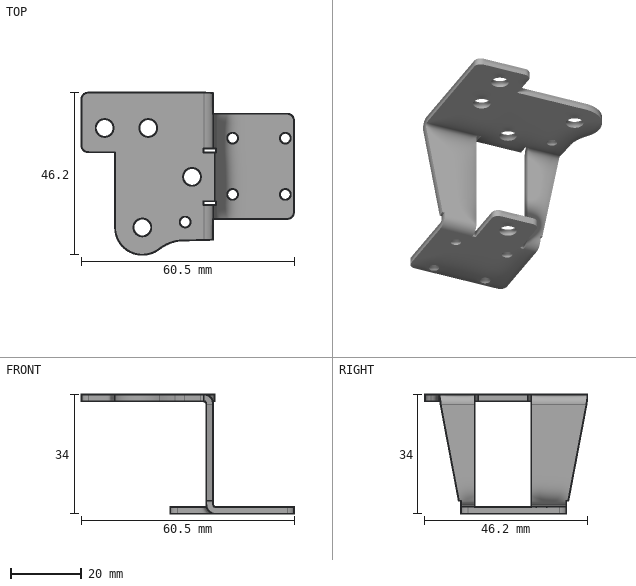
import cadquery as cq
import math


sheet = 2.0
bend_inner_radius = 0.74
bend_outer_radius = bend_inner_radius + sheet
height = 34.0
web_left = 35.54
web_right = web_left + sheet
upper_bend_start = web_left - bend_inner_radius
lower_bend_end = web_right + bend_inner_radius

upper_half_width = 21.0
lower_half_width = 15.0
upper_bend_inset = 0.2
taper_bottom_half_width = 15.6
relief = 1.0
upper_bend_bottom = height - bend_outer_radius
taper_bottom = bend_outer_radius + relief

window_center_y = -3.0
window_width = 16.0
tab_width = window_width - 2 * relief
upper_tab_end = 37.95
lower_tab_end = 25.3
corner_radius = 2.0

ear_bottom = 4.0
lobe_radius = 7.8
lobe_center = (17.38, -17.4)
lobe_end_angle = math.radians(-52.1)
blend_middle = (26.57, -21.4)
blend_end = (29.33, -21.15)

lower_plate_end = 60.54

large_hole = 5.0
small_hole = 3.0
tab_hole = (31.5, window_center_y)
ear_hole_y = 10.9
ear_hole_xs = (6.65, 19.05)
upper_small_hole = (29.55, -15.85)
mount_spacing_x = 15.0
mount_spacing_y = 16.0
mount_center_x = 50.55


def lobe_point(angle):
    """Point on the rounded lobe at an angle from +X."""
    x, y = lobe_center
    return (x + lobe_radius * math.cos(angle), y + lobe_radius * math.sin(angle))


def make_upper_plate():
    """Flat upper plate up to the bend, with its ear, lobe and tab."""
    lobe_left = lobe_center[0] - lobe_radius
    plate = (
        cq.Workplane("XY")
        .workplane(offset=height - sheet)
        .moveTo(upper_bend_start, upper_half_width)
        .lineTo(0, upper_half_width)
        .lineTo(0, ear_bottom)
        .lineTo(lobe_left, ear_bottom)
        .lineTo(lobe_left, lobe_center[1])
        .threePointArc(lobe_point(-math.pi / 2), lobe_point(lobe_end_angle))
        .tangentArcPoint(blend_middle, relative=False)
        .tangentArcPoint(blend_end, relative=False)
        .lineTo(upper_bend_start - relief, -upper_half_width)
        .lineTo(upper_bend_start, -upper_half_width)
        .close()
        .extrude(sheet)
    )
    plate = plate.edges("|Z and <X").fillet(corner_radius)
    return plate.union(make_tab(upper_bend_start, upper_tab_end, height - sheet))


def make_tab(x_start, x_end, z_bottom):
    """Flat strip as wide as the tabs, between two X positions."""
    return cq.Workplane("XY").box(
        x_end - x_start, tab_width, sheet, centered=(False, True, False)
    ).translate((x_start, window_center_y, z_bottom))


def make_lower_plate():
    """Flat lower plate beyond the bend, with the tab on its other side."""
    plate = cq.Workplane("XY").box(
        lower_plate_end - lower_bend_end, 2 * lower_half_width, sheet, centered=(False, True, False)
    ).translate((lower_bend_end, 0, 0))
    plate = plate.edges("|Z and >X").fillet(corner_radius)
    tab = make_tab(lower_tab_end, lower_bend_end, 0)
    return plate.union(tab.edges("|Z and <X").fillet(corner_radius))


def make_web():
    """Upright web and both bends, trimmed to the tapered outline and window."""
    inner_mid = bend_inner_radius * math.cos(math.pi / 4)
    outer_mid = bend_outer_radius * math.cos(math.pi / 4)
    upper_z = upper_bend_bottom
    lower_z = bend_outer_radius
    section = (
        cq.Workplane("XZ")
        .moveTo(upper_bend_start, height)
        .threePointArc((upper_bend_start + outer_mid, upper_z + outer_mid), (web_right, upper_z))
        .lineTo(web_right, lower_z)
        .threePointArc((lower_bend_end - inner_mid, lower_z - inner_mid), (lower_bend_end, sheet))
        .lineTo(lower_bend_end, 0)
        .threePointArc((lower_bend_end - outer_mid, lower_z - outer_mid), (web_left, lower_z))
        .lineTo(web_left, upper_z)
        .threePointArc(
            (upper_bend_start + inner_mid, upper_z + inner_mid),
            (upper_bend_start, height - sheet),
        )
        .close()
        .extrude(upper_half_width, both=True)
    )
    outline = (
        cq.Workplane("YZ")
        .moveTo(0, height)
        .lineTo(upper_half_width, height)
        .lineTo(upper_half_width - upper_bend_inset, upper_bend_bottom)
        .lineTo(taper_bottom_half_width, taper_bottom)
        .lineTo(lower_half_width, taper_bottom)
        .lineTo(lower_half_width, 0)
        .lineTo(0, 0)
        .close()
        .extrude(lower_plate_end)
    )
    outline = outline.union(outline.mirror("XZ"))
    window = cq.Workplane("XY").box(
        lower_plate_end, window_width, height, centered=(False, True, False)
    ).translate((0, window_center_y, 0))
    return section.intersect(outline).cut(window)


def make_drill(points, diameter):
    """Vertical drills through the full height at the given XY points."""
    return cq.Workplane("XY").pushPoints(points).circle(diameter / 2).extrude(height)


large_points = [tab_hole, lobe_center] + [(x, ear_hole_y) for x in ear_hole_xs]
mount_points = [
    (mount_center_x + side_x * mount_spacing_x / 2, side_y * mount_spacing_y / 2)
    for side_x in (-1, 1)
    for side_y in (-1, 1)
]

result = (
    make_web()
    .union(make_upper_plate())
    .union(make_lower_plate())
    .cut(make_drill(large_points, large_hole))
    .cut(make_drill(mount_points + [upper_small_hole], small_hole))
    .clean()
)